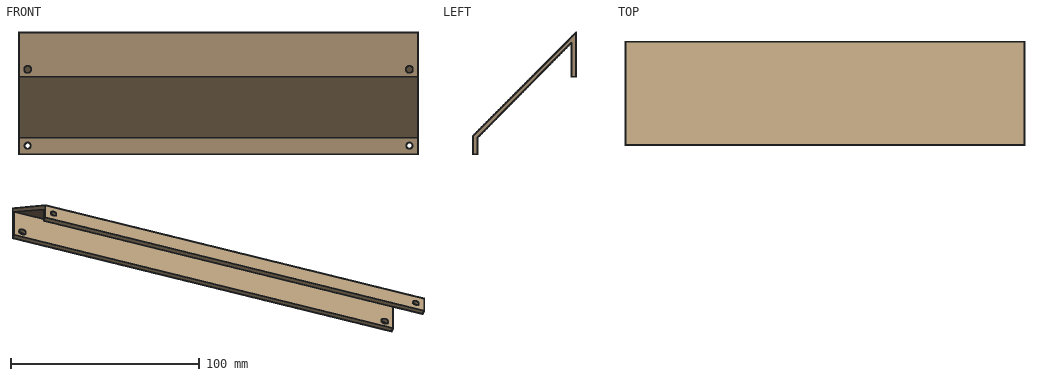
import cadquery as cq

length = 212.0
depth = 55.0
height = 64.9

flange_thickness = 2.5
front_flange_height = 23.7
rear_flange_height = 9.8
front_inner_corner_drop = 5.5
rear_inner_corner_height = 9.0

hole_end_inset = 4.7
front_hole_diameter = 3.8
front_hole_edge_inset = 4.0
rear_hole_diameter = 3.2
rear_hole_edge_inset = 4.7

front_flange_bottom = height - front_flange_height
rear_flange_front = depth - flange_thickness


def bent_sheet():
    """Sloping panel with a flange hanging down from each long edge."""
    profile = [
        (0, front_flange_bottom),
        (0, height),
        (depth, rear_flange_height),
        (depth, 0),
        (rear_flange_front, 0),
        (rear_flange_front, rear_inner_corner_height),
        (flange_thickness, height - front_inner_corner_drop),
        (flange_thickness, front_flange_bottom),
    ]
    return cq.Workplane("YZ").polyline(profile).close().extrude(length)


def flange_holes(diameter, front_y, center_z):
    """Pair of drills through one flange, one near each end."""
    centers = [(hole_end_inset, center_z), (length - hole_end_inset, center_z)]
    return (
        cq.Workplane("XZ", origin=(0, front_y, 0))
        .pushPoints(centers)
        .circle(diameter / 2)
        .extrude(-flange_thickness)
    )


front_holes = flange_holes(front_hole_diameter, 0, front_flange_bottom + front_hole_edge_inset)
rear_holes = flange_holes(rear_hole_diameter, rear_flange_front, rear_hole_edge_inset)

result = bent_sheet().cut(front_holes).cut(rear_holes)